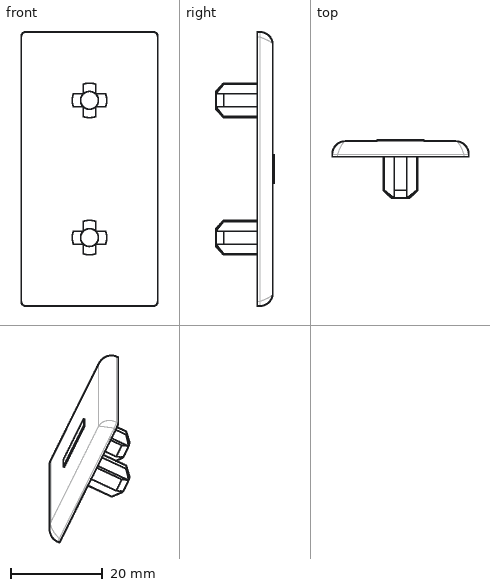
import cadquery as cq

plate_width = 29.8
plate_height = 59.8
plate_thickness = 3.45
corner_radius = 1.1
rim_thickness = 0.55
edge_radius = plate_thickness - rim_thickness

pad_width = 10.15
pad_height = 6.15
pad_thickness = 0.25

pin_spacing = plate_height / 2
pin_length = 8.95
pin_diameter = 7.55
pin_tip_diameter = 3.9
pin_taper_length = 1.7
arm_width = 2.8


def make_plate():
    """Rounded rectangular plate with a large round along its +Y edge."""
    slab = cq.Workplane("XY").box(
        plate_width, plate_thickness, plate_height, centered=(True, False, True)
    )
    slab = slab.edges("|Y").fillet(corner_radius)
    return slab.faces(">Y").edges().fillet(edge_radius)


def make_pad():
    """Thin pad standing proud of the +Y face."""
    return (
        cq.Workplane("XY")
        .box(pad_width, pad_thickness, pad_height, centered=(True, False, True))
        .translate((0, plate_thickness, 0))
    )


def make_pin():
    """Turned pin with a tapered tip, cut down to four arms."""
    pin_radius = pin_diameter / 2
    tip_radius = pin_tip_diameter / 2
    turned = (
        cq.Workplane("XY")
        .moveTo(0, 0)
        .lineTo(pin_radius, 0)
        .lineTo(pin_radius, pin_taper_length - pin_length)
        .lineTo(tip_radius, -pin_length)
        .lineTo(0, -pin_length)
        .close()
        .revolve(360, (0, 0), (0, 1))
    )
    cross = (
        cq.Workplane("XZ")
        .rect(pin_diameter, arm_width)
        .extrude(pin_length)
        .union(cq.Workplane("XZ").rect(arm_width, pin_diameter).extrude(pin_length))
    )
    return turned.intersect(cross)


result = make_plate().union(make_pad())
for side in (-1, 1):
    result = result.union(make_pin().translate((0, 0, side * pin_spacing / 2)))